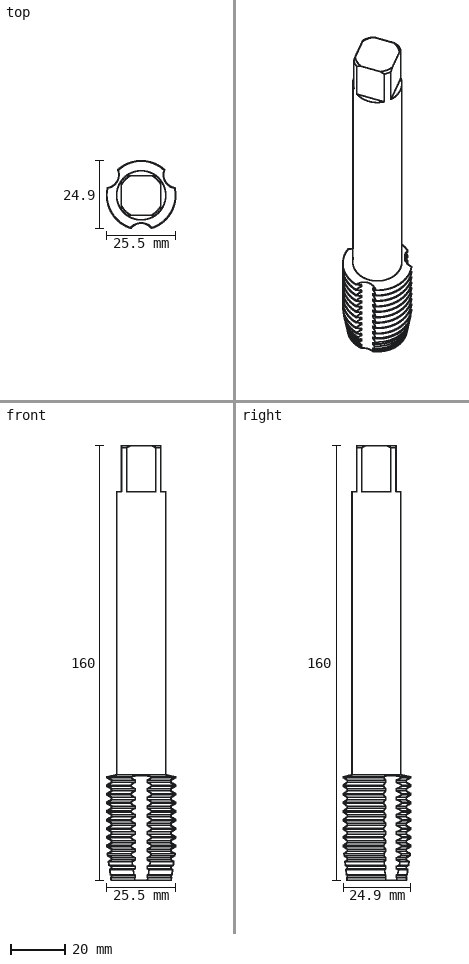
import cadquery as cq
import math

total_length = 160.0

shank_diameter = 18.0
shank_radius = shank_diameter / 2
square_width = 14.5
square_length = 17.0
square_end_chamfer = 0.8

head_length = 38.9
crest_diameter = 25.5
crest_radius = crest_diameter / 2
last_crest_height = 38.0
crest_count = 12
pitch = last_crest_height / crest_count
crest_flat = pitch / 8
root_flat = pitch / 4
flank_angle = math.radians(30)
thread_depth = (pitch - crest_flat - root_flat) / 2 / math.tan(flank_angle)
root_radius = crest_radius - thread_depth

tip_radius = 11.0
taper_length = 11.5

flute_angles = (-90, 30, 150)
flute_floor_radius = 10.2
flute_radius = 4.8


def make_shank():
    """Round shank standing on the head, with four flats at its top end."""
    shank = (
        cq.Workplane("XY")
        .workplane(offset=head_length)
        .circle(shank_radius)
        .extrude(total_length - head_length)
        .faces(">Z")
        .chamfer(square_end_chamfer)
    )
    square_base = cq.Workplane("XY").workplane(offset=total_length - square_length)
    outside_square = (
        square_base.rect(2 * shank_diameter, 2 * shank_diameter)
        .rect(square_width, square_width)
        .extrude(square_length)
    )
    return shank.cut(outside_square)


def make_head_blank():
    """Turned blank: tapered tip, full-diameter length and a conical shoulder up to the shank."""
    return (
        cq.Workplane("YZ")
        .polyline([
            (0, 0),
            (tip_radius, 0),
            (crest_radius, taper_length),
            (crest_radius, last_crest_height),
            (shank_radius, head_length),
            (0, head_length),
        ])
        .close()
        .revolve(360, (0, 0), (0, 1))
    )


def make_thread_groove(center_height):
    """Ring with a V section and a flat bottom, centred on the given height."""
    clearance = 0.8
    root_half = root_flat / 2
    outer_half = root_half + (thread_depth + clearance) * math.tan(flank_angle)
    outer_radius = crest_radius + clearance
    return (
        cq.Workplane("YZ")
        .polyline([
            (root_radius, center_height - root_half),
            (outer_radius, center_height - outer_half),
            (outer_radius, center_height + outer_half),
            (root_radius, center_height + root_half),
        ])
        .close()
        .revolve(360, (0, 0), (0, 1))
    )


def make_flute(angle):
    """Round-bottomed channel that runs the full length of the head."""
    return (
        cq.Workplane("XY")
        .center(flute_floor_radius + flute_radius, 0)
        .circle(flute_radius)
        .extrude(head_length)
        .rotate((0, 0, 0), (0, 0, 1), angle)
    )


def make_head():
    """Cutting head: blank with ring grooves between the crests and three flutes."""
    head = make_head_blank()
    for crest in range(crest_count):
        head = head.cut(make_thread_groove((crest + 0.5) * pitch))
    for angle in flute_angles:
        head = head.cut(make_flute(angle))
    return head


shank = make_shank()
head = make_head()

result = cq.Compound.makeCompound([shank.val(), head.val()])